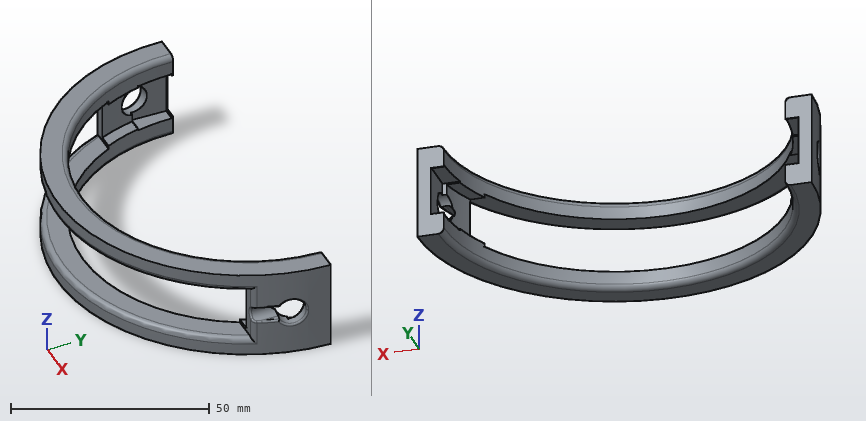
import cadquery as cq
import math

outer_radius = 52.1
wall = 7.0
height = 24.8
rim_fillet = 1.5
inner_radius = outer_radius - wall

groove_depth = wall / 2
groove_height = 13.0
groove_radius = inner_radius + groove_depth

pocket_height = 13.8
pocket_lip = 0.4
pocket_end_y = -10.2
pocket_back_x = groove_radius

window_end_y = -20.0
window_height = 14.8
window_fillet = 1.6

left_hole_diameter = 8.0
right_hole_diameter = 7.5
hole_angle = math.radians(11.4)
mouth_fillet = 0.5
left_hole_z = -0.5
right_hole_z = 0.0

channel_width = 4.0
channel_floor_x = 46.5
channel_center_x = channel_floor_x + channel_width / 2

clearance = 5.0
tolerance = 0.01


def half_disc(radius, thickness):
    """Half disc on the -Y side, centred on Z = 0."""
    return (
        cq.Workplane("XY", origin=(0, 0, -thickness / 2))
        .moveTo(-radius, 0)
        .threePointArc((0, -radius), (radius, 0))
        .close()
        .extrude(thickness)
    )


def outer_wall_edges(body, y_min, y_max, z_limit):
    """Edges on the outer cylinder whose centres lie inside the given Y and Z limits."""

    def on_outer_wall(edge):
        points = [edge.positionAt(t) for t in (0.0, 0.3, 0.5, 0.8)]
        return all(abs(math.hypot(p.x, p.y) - outer_radius) < tolerance for p in points)

    def in_limits(center):
        return y_min < center.y < y_max and abs(center.z) < z_limit

    return [e for e in body.edges().vals() if on_outer_wall(e) and in_limits(e.Center())]


def make_ring():
    ring = half_disc(outer_radius, height).cut(half_disc(inner_radius, height))
    rims = ring.edges("%CIRCLE").edges(cq.selectors.RadiusNthSelector(0))
    return rims.fillet(rim_fillet)


def cut_window(body):
    """Cut the window straight through along Y and round its outer edges."""
    depth = outer_radius + window_end_y + clearance
    window = cq.Workplane("XY").box(
        2 * outer_radius, depth, window_height, centered=(True, False, True)
    )
    body = body.cut(window.translate((0, window_end_y - depth, 0)))

    margin = 2 * tolerance
    edges = outer_wall_edges(body, -outer_radius - margin, window_end_y + margin, window_height / 2 + margin)
    return body.newObject(edges).fillet(window_fillet)


def hole_cutter(side, diameter, z):
    """Radial bore through one end; side is -1 for -X and +1 for +X."""
    direction = cq.Vector(side * math.cos(hole_angle), -math.sin(hole_angle), 0)
    start = direction * (inner_radius - clearance) + cq.Vector(0, 0, z)
    length = wall + 2 * clearance
    return cq.Workplane(cq.Solid.makeCylinder(diameter / 2, length, start, direction))


def channel_cutter():
    """U-shaped channel, rounded on its inner side and open through the outer wall."""
    start_y = -outer_radius * math.sin(hole_angle)
    length = start_y - window_end_y + clearance
    open_x = outer_radius + clearance
    half_width = channel_width / 2
    return (
        cq.Workplane("XZ", origin=(0, start_y, 0))
        .moveTo(open_x, half_width)
        .lineTo(channel_center_x, half_width)
        .threePointArc((channel_floor_x, 0), (channel_center_x, -half_width))
        .lineTo(open_x, -half_width)
        .close()
        .extrude(length)
    )


def cut_holes(body):
    """Cut both holes and the channel, and round their mouths on the outer wall."""
    body = body.cut(hole_cutter(-1, left_hole_diameter, left_hole_z))
    body = body.cut(hole_cutter(1, right_hole_diameter, right_hole_z)).cut(channel_cutter())
    mouths = outer_wall_edges(body, window_end_y + window_fillet, -tolerance, left_hole_diameter)
    return body.newObject(mouths).fillet(mouth_fillet)


def cut_groove(body):
    """Cut the groove with the two pockets, which stop a thin lip short of the ends."""
    body = body.cut(half_disc(groove_radius, groove_height))
    pocket = cq.Workplane("XY").box(
        2 * pocket_back_x, -pocket_lip - pocket_end_y, pocket_height, centered=(True, False, True)
    )
    return body.cut(pocket.translate((0, pocket_end_y, 0)))


result = cut_groove(cut_holes(cut_window(make_ring())))